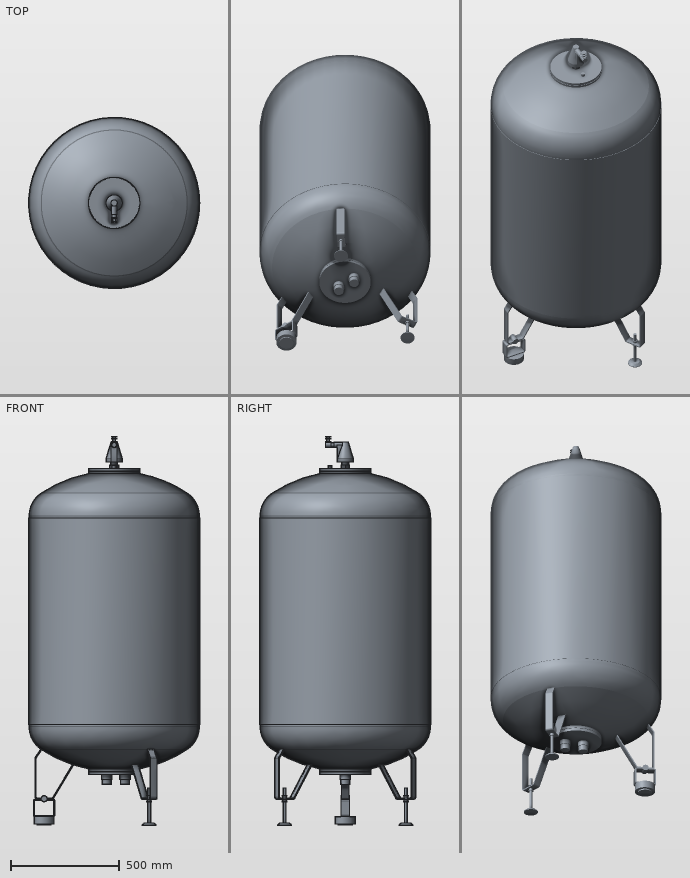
import cadquery as cq
import math

SHELL_RADIUS = 395.0
SHELL_BOTTOM_Z = 467.0
SHELL_TOP_Z = 1418.0
DISH_RADIUS = 393.0
DISH_SKIRT = 10.0
KNUCKLE_RADIUS = 125.0
CROWN_RADIUS = 610.0

FLANGE_RADIUS = 118.0
FLANGE_TOP_Z = 1648.0
FLANGE_BOTTOM_Z = 235.0
COVER_THICKNESS = 13.0
GROOVE_WIDTH = 2.0
GROOVE_DEPTH = 4.0

NOZZLE_XS = (-35.0, 50.0)
NOZZLE_RADIUS = 22.0
NOZZLE_COLLAR_RADIUS = 25.0
NOZZLE_COLLAR_Z = 214.0
NOZZLE_END_Z = 190.0

LEG_ANGLES = (0, 120, 240)
LEG_WIDTH = 36.0
BAR_THICKNESS = 5.0
LEG_POST_X = -363.0
LEG_PLATE_Z = 124.0
LEG_PLATE_END_X = -284.0
LEG_KNEE_Z = 312.0
LEG_HEAD = (-321.0, 373.0)
LEG_BRACE_HEAD = (-175.0, 307.0)
LEG_BEND_RADIUS = 7.0

FOOT_X = -323.0
PLATE_TOP_Z = LEG_PLATE_Z + BAR_THICKNESS / 2
PLATE_BOTTOM_Z = LEG_PLATE_Z - BAR_THICKNESS / 2

ROD_RADIUS = 7.0
ROD_TOP_Z = 175.0
NUT_RADIUS = 9.0
NUT_HEIGHT = 13.0
NUT_RIM_RADIUS = 11.7
NUT_RIM_HEIGHT = 4.0
PAD_BOTTOM_RADIUS = 32.0
PAD_RIM_HEIGHT = 4.0
PAD_TOP_RADIUS = 22.0
PAD_HEIGHT = 13.0

BRACKET_WIDTH = 40.0
PIN_RADIUS = 15.0
PIN_LENGTH = BRACKET_WIDTH
BRACKET_LENGTH = 99.0
BRACKET_BOTTOM_Z = 41.0
BRACKET_CORNER = 7.0
BRACKET_INNER_CORNER = BRACKET_CORNER - BAR_THICKNESS
CELL_RADIUS = 47.0
CELL_BOTTOM_Z = 7.0
CELL_BASE_RADIUS = 32.0
CELL_BASE_Z = 2.0

VENT_HEX_RADIUS = 22.0
VENT_HEX_TOP_Z = 1662.0
VENT_NECK_RADIUS = 16.0
VENT_BASE_Z = 1677.0
VENT_BASE_RADIUS = 38.0
VENT_CONE_Z = 1693.0
VENT_TOP_Z = 1770.0
VENT_TOP_RADIUS = 15.0
VENT_COLUMN_WIDTH = 27.0
OUTLET_Z = 1755.0
OUTLET_RADIUS = 13.0
OUTLET_NECK_RADIUS = 10.0
OUTLET_COLLAR_Y = -47.0
OUTLET_COLLAR_WIDTH = 5.0
SCREW_Y = -79.0
SCREW_BODY_LENGTH = 25.0
SCREW_STEM_RADIUS = 7.0
SCREW_DISC_RADIUS = 13.0
SCREW_DISC_HEIGHT = 2.0
SCREW_DISC_TOP_ZS = (1772.0, 1785.0, 1795.0)

PLUG_Y = -70.0
PLUG_RADIUS = 9.0
PLUG_HEIGHT = 13.0


def cylinder(radius, z_low, z_high, x=0, y=0):
    """Upright cylinder between two heights."""
    return cq.Workplane("XY", origin=(x, y, z_low)).circle(radius).extrude(z_high - z_low)


def bar_along_y(radius, x, z, y_low, y_high):
    """Cylinder whose axis runs along Y."""
    return cq.Workplane("XZ", origin=(x, y_high, z)).circle(radius).extrude(y_high - y_low)


def dish_points(rim_z, direction):
    """Knuckle start, knuckle middle, joint, crown middle and pole of one end, as (radius, z)."""
    joint_angle = math.asin((DISH_RADIUS - KNUCKLE_RADIUS) / (CROWN_RADIUS - KNUCKLE_RADIUS))
    knuckle_angle = (joint_angle + math.pi / 2) / 2
    knuckle_z = rim_z + direction * DISH_SKIRT
    crown_z = knuckle_z - direction * (CROWN_RADIUS - KNUCKLE_RADIUS) * math.cos(joint_angle)

    def on_knuckle(angle):
        radius = DISH_RADIUS - KNUCKLE_RADIUS + KNUCKLE_RADIUS * math.sin(angle)
        return radius, knuckle_z + direction * KNUCKLE_RADIUS * math.cos(angle)

    def on_crown(angle):
        return CROWN_RADIUS * math.sin(angle), crown_z + direction * CROWN_RADIUS * math.cos(angle)

    return (on_knuckle(math.pi / 2), on_knuckle(knuckle_angle), on_knuckle(joint_angle),
            on_crown(joint_angle / 2), on_crown(0))


def make_shell():
    low_start, low_knuckle, low_joint, low_crown, low_pole = dish_points(SHELL_BOTTOM_Z, -1)
    top_start, top_knuckle, top_joint, top_crown, top_pole = dish_points(SHELL_TOP_Z, 1)
    profile = (
        cq.Workplane("XZ")
        .moveTo(*low_pole)
        .threePointArc(low_crown, low_joint)
        .threePointArc(low_knuckle, low_start)
        .lineTo(DISH_RADIUS, SHELL_BOTTOM_Z)
        .lineTo(SHELL_RADIUS, SHELL_BOTTOM_Z)
        .lineTo(SHELL_RADIUS, SHELL_TOP_Z)
        .lineTo(DISH_RADIUS, SHELL_TOP_Z)
        .lineTo(*top_start)
        .threePointArc(top_knuckle, top_joint)
        .threePointArc(top_crown, top_pole)
        .close()
    )
    return profile.revolve(360, (0, 0, 0), (0, 1, 0))


def make_flange(face_z, inward):
    """Flange with a parting groove; inward is +1 or -1 along Z, toward the tank."""
    groove_z = face_z + inward * COVER_THICKNESS
    ring_z = groove_z + inward * GROOVE_WIDTH
    root_z = SHELL_BOTTOM_Z if inward > 0 else SHELL_TOP_Z
    core = cylinder(FLANGE_RADIUS - GROOVE_DEPTH, min(face_z, root_z), max(face_z, root_z))
    cover = cylinder(FLANGE_RADIUS, min(face_z, groove_z), max(face_z, groove_z))
    ring = cylinder(FLANGE_RADIUS, min(ring_z, root_z), max(ring_z, root_z))
    return core.union(cover).union(ring)


def make_nozzle(x):
    collar = cylinder(NOZZLE_COLLAR_RADIUS, NOZZLE_COLLAR_Z, FLANGE_BOTTOM_Z, x)
    return collar.union(cylinder(NOZZLE_RADIUS, NOZZLE_END_Z, FLANGE_BOTTOM_Z, x))


def make_leg():
    """Bar bent into a knee, an upright, a foot plate and a sloping brace."""
    corners = [
        LEG_HEAD,
        (LEG_POST_X, LEG_KNEE_Z),
        (LEG_POST_X, LEG_PLATE_Z),
        (LEG_PLATE_END_X, LEG_PLATE_Z),
        LEG_BRACE_HEAD,
    ]
    points = [cq.Vector(x, 0, z) for x, z in corners]
    centre_line = cq.Wire.makePolygon(points).fillet(LEG_BEND_RADIUS)
    outline = centre_line.offset2D(BAR_THICKNESS / 2)[0]
    return cq.Workplane("XZ").add(outline).toPending().extrude(LEG_WIDTH / 2, both=True)


def make_pin():
    return bar_along_y(PIN_RADIUS, FOOT_X, LEG_PLATE_Z, -PIN_LENGTH / 2, PIN_LENGTH / 2)


def make_tank():
    tank = make_shell()
    tank = tank.union(make_flange(FLANGE_TOP_Z, -1))
    tank = tank.union(make_flange(FLANGE_BOTTOM_Z, 1))
    for x in NOZZLE_XS:
        tank = tank.union(make_nozzle(x))
    rod_hole = cylinder(ROD_RADIUS, PLATE_BOTTOM_Z, PLATE_TOP_Z, FOOT_X)
    for angle in LEG_ANGLES:
        opening = make_pin() if angle == 0 else rod_hole
        leg = make_leg().cut(opening)
        tank = tank.union(leg.rotate((0, 0, 0), (0, 0, 1), angle))
    return tank


def make_levelling_foot(angle):
    """Threaded rod on a pad, clamped to the leg plate by two rimmed nuts."""
    pad = (
        cq.Workplane("XY", origin=(FOOT_X, 0, PAD_RIM_HEIGHT))
        .circle(PAD_BOTTOM_RADIUS)
        .workplane(offset=PAD_HEIGHT - PAD_RIM_HEIGHT)
        .circle(PAD_TOP_RADIUS)
        .loft()
    )
    pad = pad.union(cylinder(PAD_BOTTOM_RADIUS, 0, PAD_RIM_HEIGHT, FOOT_X))
    upper_end = PLATE_TOP_Z + NUT_HEIGHT
    lower_end = PLATE_BOTTOM_Z - NUT_HEIGHT
    foot = pad.union(cylinder(ROD_RADIUS, 0, ROD_TOP_Z, FOOT_X))
    foot = foot.union(cylinder(NUT_RADIUS, PLATE_TOP_Z, upper_end, FOOT_X))
    foot = foot.union(cylinder(NUT_RIM_RADIUS, upper_end - NUT_RIM_HEIGHT, upper_end, FOOT_X))
    foot = foot.union(cylinder(NUT_RADIUS, lower_end, PLATE_BOTTOM_Z, FOOT_X))
    foot = foot.union(cylinder(NUT_RIM_RADIUS, lower_end, lower_end + NUT_RIM_HEIGHT, FOOT_X))
    return foot.rotate((0, 0, 0), (0, 0, 1), angle)


def make_weighing_foot():
    """Load cell disc carrying a rectangular bracket, hung on the leg plate by a cross pin."""
    height = PLATE_BOTTOM_Z - BRACKET_BOTTOM_Z
    middle_z = BRACKET_BOTTOM_Z + height / 2
    outer = cq.Workplane("XY").box(BRACKET_LENGTH, BRACKET_WIDTH, height)
    outer = outer.edges("|Y").fillet(BRACKET_CORNER)
    window_size = (BRACKET_LENGTH - 2 * BAR_THICKNESS, BRACKET_WIDTH, height - 2 * BAR_THICKNESS)
    window = cq.Workplane("XY").box(*window_size).edges("|Y").fillet(BRACKET_INNER_CORNER)
    bracket = outer.cut(window).translate((FOOT_X, 0, middle_z))
    cell = cylinder(CELL_RADIUS, CELL_BOTTOM_Z, BRACKET_BOTTOM_Z, FOOT_X)
    base = cylinder(CELL_BASE_RADIUS, CELL_BASE_Z, CELL_BOTTOM_Z, FOOT_X)
    return bracket.union(make_pin()).union(cell).union(base)


def make_vent():
    """Conical float vent with a side outlet that ends in a screw valve."""
    hex_nut = (
        cq.Workplane("XY", origin=(0, 0, FLANGE_TOP_Z))
        .polygon(6, 2 * VENT_HEX_RADIUS)
        .extrude(VENT_HEX_TOP_Z - FLANGE_TOP_Z)
    )
    neck = cylinder(VENT_NECK_RADIUS, VENT_HEX_TOP_Z, VENT_BASE_Z)
    base = cylinder(VENT_BASE_RADIUS, VENT_BASE_Z, VENT_CONE_Z)
    cone = (
        cq.Workplane("XY", origin=(0, 0, VENT_CONE_Z))
        .circle(VENT_BASE_RADIUS)
        .workplane(offset=VENT_TOP_Z - VENT_CONE_Z)
        .circle(VENT_TOP_RADIUS)
        .loft()
    )
    column = (
        cq.Workplane("XY", origin=(0, -VENT_BASE_RADIUS / 2, VENT_BASE_Z))
        .rect(VENT_COLUMN_WIDTH, VENT_BASE_RADIUS)
        .extrude(OUTLET_Z - VENT_BASE_Z)
    )
    vent = hex_nut.union(neck).union(base).union(cone).union(column)
    return vent.union(make_outlet())


def make_outlet():
    collar_end = OUTLET_COLLAR_Y - OUTLET_COLLAR_WIDTH
    outlet = bar_along_y(OUTLET_RADIUS, 0, OUTLET_Z, collar_end, 0)
    outlet = outlet.union(bar_along_y(OUTLET_NECK_RADIUS, 0, OUTLET_Z, SCREW_Y, collar_end))
    body_start = SCREW_Y - SCREW_BODY_LENGTH / 2
    body_end = SCREW_Y + SCREW_BODY_LENGTH / 2
    outlet = outlet.union(bar_along_y(OUTLET_RADIUS, 0, OUTLET_Z, body_start, body_end))
    outlet = outlet.union(cylinder(SCREW_STEM_RADIUS, OUTLET_Z, max(SCREW_DISC_TOP_ZS), y=SCREW_Y))
    for top_z in SCREW_DISC_TOP_ZS:
        disc = cylinder(SCREW_DISC_RADIUS, top_z - SCREW_DISC_HEIGHT, top_z, y=SCREW_Y)
        outlet = outlet.union(disc)
    return outlet


def make_plug():
    return cylinder(PLUG_RADIUS, FLANGE_TOP_Z, FLANGE_TOP_Z + PLUG_HEIGHT, y=PLUG_Y)


tank = make_tank()
weighing_foot = make_weighing_foot()
levelling_feet = [make_levelling_foot(angle) for angle in LEG_ANGLES[1:]]
vent = make_vent()
plug = make_plug()

bodies = [tank, weighing_foot, *levelling_feet, vent, plug]
result = cq.Compound.makeCompound([body.solids().val() for body in bodies])